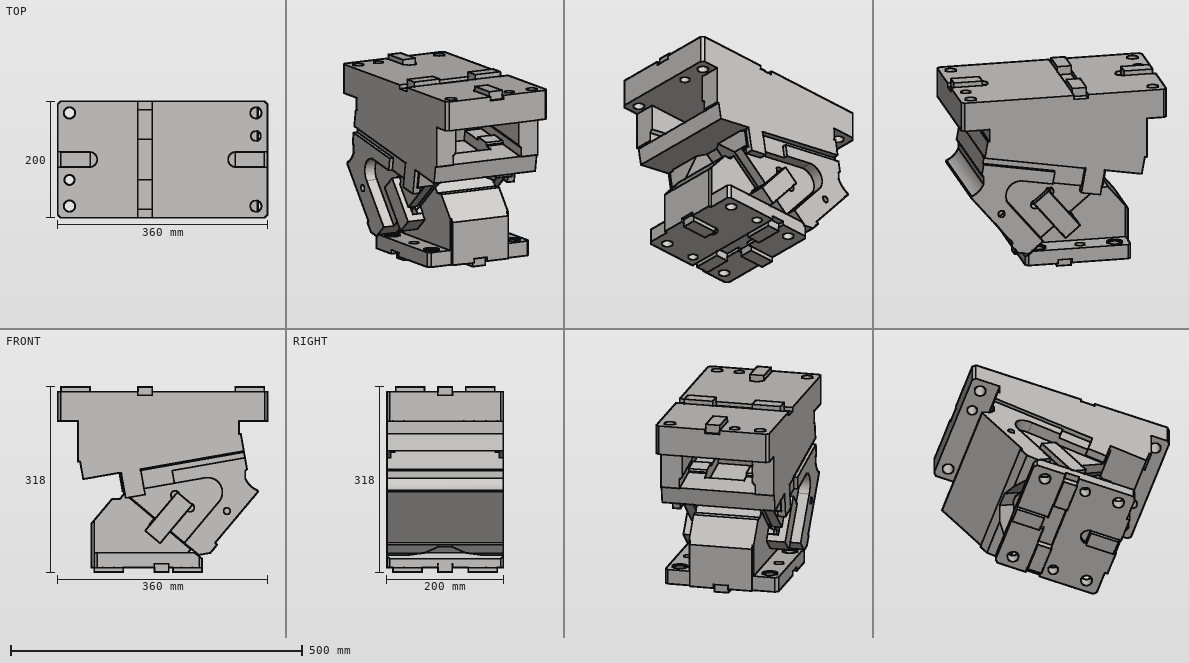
import cadquery as cq
import math


WIDTH = 200.0
HALF_WIDTH = WIDTH / 2
KEY_WIDTH = 25.0
KEY_LENGTH = 50.0
KEY_HEIGHT = 8.0
KEYWAY_WIDTH = 26.0
KEYWAY_DEPTH = 7.0
CORNER_CHAMFER = 5.0
BOLT_HOLE = 19.0
DOWEL_HOLE = 17.0
BOLT_Y = 80.0
FAR = 432.0

GUIDE_ANGLE = math.radians(10)
GUIDE_ORIGIN = (142.2, 176.8)

RAMP_ANGLE = math.radians(-40)
RAMP_ORIGIN = (125.0, 127.5)

HOLDER_LENGTH = 360.0
PLATE_TOP = 310.0
PLATE_BOTTOM = 259.2
LEG_LEFT = 34.5
LEG_RIGHT = 311.5
BODY_LEFT_U = -100.0
BODY_RIGHT_U = 180.0
LEFT_STEP_V = 30.5
RIGHT_STEP_V = 29.5
HOOK_LEFT_U = -34.0
HOOK_BOTTOM_V = -44.3
HOOK_HALF_GAP = 86.5
TOP_GROOVE_X = 150.0
TOP_CROSS_KEY_Y = 60.0
TOP_END_KEY_INSET = 5.5
TOP_KEYWAY_LENGTH = 67.5
HOLDER_HOLE_INSET = 20.0
LEFT_DOWEL_Y = -35.0
RIGHT_DOWEL_Y = 40.5
CAVITY_HALF = 62.3
CAVITY_WIDE_HALF = 67.5
CAVITY_WIDE_TOP_V = 52.0
CAVITY_BACK_U = 36.0
CAVITY_LEDGE_V = 68.5
CAVITY_SLOT_HALF = 35.0
CAVITY_SLOT_LEFT_U = -54.5
CAVITY_SLOT_DEPTH = 18.0
CAVITY_PAD_LEFT_U = -39.5
CAVITY_PAD_RIGHT_U = -8.5
CAVITY_PAD_TOP_V = 36.0
CAVITY_PAD_CHAMFER = 3.0

SLIDE_LEFT_U = -37.0
SLIDE_SOLE_START_S = -18.0
SLIDE_SOLE_END_S = 152.5
SLIDE_BACK_S = 161.0
SLIDE_END_BOTTOM_V = -31.5
HEEL_S = 165.5
HEEL_LOW_N = 15.5
HEEL_HIGH_N = 34.2
TIP_N = 149.0
TIP_ROUND_START = (342.7, 140.5)
TIP_ROUND_MIDDLE = (328.0, 151.2)
TIP_ROUND_END = (322.0, 161.0)
NECK_U = 176.5
FLANGE_HALF = 93.0
FLANGE_BOTTOM_V = -34.0
LEDGE_V = -12.0
PAD_LEFT_U = 53.0
TOP_RELIEF_HALF = 86.5
TOP_RELIEF = 2.0
RECESS_HALF = 80.0
RECESS_RIGHT_S = 121.0
RECESS_CORNER_U = 175.5
RECESS_RADIUS = 25.2
SIDE_HOLE = 11.5
SIDE_HOLE_DEPTH = 10.8
SIDE_HOLE_AT = (141.0, 89.0)
RELIEF_RADIUS = 7.2
RELIEF_INSET = 6.0

ROOF_SLOPE = math.tan(math.radians(30))
RIDGE_N = 29.0
GROOVE_HALF = 62.5
RAMP_START_S = -13.0
RAMP_END_S = 136.0
RAMP_CLEARANCE = 1.0

BLOCK_LEFT = 57.5
BLOCK_RIGHT = 223.5
BLOCK_LEFT_TOP = 83.0
BLOCK_HALF = 57.2
NOSE_HALF = 55.0
SHOULDER_N = -13.0
SHOULDER_LEFT_X = 93.2
RAMP_FOOT_N = -8.3
FOOT_LEFT = 62.5
FOOT_RIGHT = 247.5
FOOT_BOTTOM = KEY_HEIGHT
FOOT_TOP = 33.5
BASE_GROOVE_X = 178.2
BASE_CROSS_KEY_Y = 64.5
FOOT_BOLTS_X = (87.0, 221.5)
FOOT_DOWEL_X = 148.0
SPOTFACE = 26.5
SPOTFACE_DEPTH = 1.8
STRAP_LEFT_S = 55.5
STRAP_RIGHT_S = 89.0
STRAP_BOTTOM_N = -27.0
STRAP_TOP_N = 59.0
STRAP_HALF = 90.5
RIB_HALF = 67.5
RIB_LEFT_S = 54.0
RIB_BOTTOM_N = -14.5
NOTCH_HALF = 76.0
NOTCH_RIGHT_S = 73.5


def tilted(origin, angle, along, across):
    """Turn a place in a tilted frame into an (x, z) point."""
    x = origin[0] + along * math.cos(angle) - across * math.sin(angle)
    z = origin[1] + along * math.sin(angle) + across * math.cos(angle)
    return (x, z)


def guide(u, v):
    return tilted(GUIDE_ORIGIN, GUIDE_ANGLE, u, v)


def ramp(s, n):
    return tilted(RAMP_ORIGIN, RAMP_ANGLE, s, n)


def box(x_range, y_range, z_range):
    size = [high - low for low, high in (x_range, y_range, z_range)]
    return cq.Workplane("XY").box(*size, centered=False).translate((x_range[0], y_range[0], z_range[0]))


def middle(points, half):
    """Extrude an (x, z) outline to both sides of the symmetry plane."""
    return cq.Workplane("XZ").polyline(points).close().extrude(half, both=True)


def sides(points, inner, outer):
    """Extrude an (x, z) outline on both sides, from inner to outer distance from the middle."""
    front = cq.Workplane("XZ", origin=(0, -inner, 0)).polyline(points).close().extrude(outer - inner)
    return front.union(front.mirror("XZ"))


def guide_rectangle(u0, u1, v0, v1):
    return [guide(u0, v0), guide(u1, v0), guide(u1, v1), guide(u0, v1)]


def ramp_rectangle(s0, s1, n0, n1):
    return [ramp(s0, n0), ramp(s1, n0), ramp(s1, n1), ramp(s0, n1)]


def prism_along(origin, angle, section, start, end):
    """Extrude a section, given as (y, height) points, along the first axis of a tilted frame."""
    x, z = tilted(origin, angle, start, 0)
    direction = (math.cos(angle), 0, math.sin(angle))
    plane = cq.Plane(origin=(x, 0, z), xDir=(0, 1, 0), normal=direction)
    return cq.Workplane(plane).polyline(section).close().extrude(end - start)


def roof_prism(eave_half, eave_n, start_s, end_s):
    """Prism along the ramp with two sloping sides and a flat ridge."""
    ridge_half = eave_half - (RIDGE_N - eave_n) / ROOF_SLOPE
    section = [(-eave_half, eave_n), (eave_half, eave_n), (ridge_half, RIDGE_N), (-ridge_half, RIDGE_N)]
    return prism_along(RAMP_ORIGIN, RAMP_ANGLE, section, start_s, end_s)


def holes(points, diameter, bottom, top):
    circles = cq.Workplane("XY", origin=(0, 0, bottom)).pushPoints(points).circle(diameter / 2)
    return circles.extrude(top - bottom)


def end_key(x_left, z_range):
    return box((x_left, x_left + KEY_LENGTH), (-KEY_WIDTH / 2, KEY_WIDTH / 2), z_range)


def cross_keys(x_middle, y_middle, z_range):
    x_range = (x_middle - KEY_WIDTH / 2, x_middle + KEY_WIDTH / 2)
    key = box(x_range, (y_middle - KEY_LENGTH / 2, y_middle + KEY_LENGTH / 2), z_range)
    return key.union(key.mirror("XZ"))


def cross_groove(x_middle, z_range):
    return box((x_middle - KEY_WIDTH / 2, x_middle + KEY_WIDTH / 2), (-HALF_WIDTH, HALF_WIDTH), z_range)


def end_keyway(x_end, length, direction, z_range):
    """Keyway open at x_end with a round inner end; direction is the sign of X into the part."""
    radius = KEYWAY_WIDTH / 2
    x_round = x_end + direction * (length - radius)
    depth = z_range[1] - z_range[0]
    x_range = (min(x_end, x_round), max(x_end, x_round))
    straight = box(x_range, (-radius, radius), z_range)
    round_end = cq.Workplane("XY", origin=(x_round, 0, z_range[0])).circle(radius).extrude(depth)
    return straight.union(round_end)


def make_holder():
    plate = box((0, HOLDER_LENGTH), (-HALF_WIDTH, HALF_WIDTH), (PLATE_BOTTOM, PLATE_TOP))
    plate = plate.edges("|Z").chamfer(CORNER_CHAMFER)
    left_holes = HOLDER_HOLE_INSET
    right_holes = HOLDER_LENGTH - HOLDER_HOLE_INSET
    bolts = [(x, y) for x in (left_holes, right_holes) for y in (-BOLT_Y, BOLT_Y)]
    dowels = [(left_holes, LEFT_DOWEL_Y), (right_holes, RIGHT_DOWEL_Y)]
    plate = plate.cut(holes(bolts, BOLT_HOLE, PLATE_BOTTOM, PLATE_TOP))
    plate = plate.cut(holes(dowels, DOWEL_HOLE, PLATE_BOTTOM, PLATE_TOP))

    left_step = guide(BODY_LEFT_U, LEFT_STEP_V)
    right_step = guide(BODY_RIGHT_U, RIGHT_STEP_V)
    outline = [
        (LEG_LEFT, PLATE_BOTTOM),
        (LEG_LEFT, left_step[1]),
        left_step,
        guide(BODY_LEFT_U, 0),
        guide(HOOK_LEFT_U, 0),
        guide(HOOK_LEFT_U, HOOK_BOTTOM_V),
        guide(0, HOOK_BOTTOM_V),
        guide(0, 0),
        guide(BODY_RIGHT_U, 0),
        right_step,
        (LEG_RIGHT, right_step[1]),
        (LEG_RIGHT, PLATE_BOTTOM),
    ]
    body = middle(outline, HALF_WIDTH)

    body = body.cut(middle(guide_rectangle(HOOK_LEFT_U, 0, FLANGE_BOTTOM_V, 0), FLANGE_HALF))
    body = body.cut(middle(guide_rectangle(HOOK_LEFT_U, 0, HOOK_BOTTOM_V, FLANGE_BOTTOM_V), HOOK_HALF_GAP))

    body = body.cut(make_cavity())
    holder = plate.union(body)

    keyway_z = (PLATE_TOP - KEYWAY_DEPTH, PLATE_TOP)
    key_z = (PLATE_TOP - KEYWAY_DEPTH, PLATE_TOP + KEY_HEIGHT)
    holder = holder.cut(cross_groove(TOP_GROOVE_X, keyway_z))
    holder = holder.cut(end_keyway(0, TOP_KEYWAY_LENGTH, 1, keyway_z))
    holder = holder.cut(end_keyway(HOLDER_LENGTH, TOP_KEYWAY_LENGTH, -1, keyway_z))
    holder = holder.union(cross_keys(TOP_GROOVE_X, TOP_CROSS_KEY_Y, key_z))
    for x_left in (TOP_END_KEY_INSET, HOLDER_LENGTH - TOP_END_KEY_INSET - KEY_LENGTH):
        holder = holder.union(end_key(x_left, key_z))
    return holder


def make_cavity():
    """Cutter for the hollow in the left end: floor along the guide, back wall square to it."""
    floor_v = LEFT_STEP_V
    floor_left = guide(BODY_LEFT_U, floor_v)
    ledge_left = guide(CAVITY_BACK_U, CAVITY_LEDGE_V)
    ledge_right_x = ledge_left[0] + (PLATE_BOTTOM - ledge_left[1]) / math.tan(GUIDE_ANGLE)
    outline = [
        (0, PLATE_BOTTOM),
        (0, floor_left[1]),
        floor_left,
        guide(CAVITY_BACK_U, floor_v),
        ledge_left,
        (ledge_right_x, PLATE_BOTTOM),
    ]
    hollow = middle(outline, CAVITY_HALF)

    shoulder = CAVITY_WIDE_HALF - CAVITY_HALF
    half_section = [
        (CAVITY_WIDE_HALF, floor_v),
        (CAVITY_WIDE_HALF, CAVITY_WIDE_TOP_V - shoulder),
        (CAVITY_HALF, CAVITY_WIDE_TOP_V),
    ]
    other_half = [(-y, v) for y, v in reversed(half_section)]
    wide_left_u = 2 * BODY_LEFT_U
    wide = prism_along(GUIDE_ORIGIN, GUIDE_ANGLE, half_section + other_half, wide_left_u, CAVITY_BACK_U)

    pad_outline = [
        guide(CAVITY_PAD_LEFT_U, floor_v),
        guide(CAVITY_PAD_RIGHT_U, floor_v),
        guide(CAVITY_PAD_RIGHT_U, CAVITY_PAD_TOP_V),
        guide(CAVITY_PAD_LEFT_U + CAVITY_PAD_CHAMFER, CAVITY_PAD_TOP_V),
        guide(CAVITY_PAD_LEFT_U, CAVITY_PAD_TOP_V - CAVITY_PAD_CHAMFER),
    ]
    pads = sides(pad_outline, CAVITY_SLOT_HALF, CAVITY_WIDE_HALF)

    slot_bottom_v = floor_v - CAVITY_SLOT_DEPTH
    slot_outline = guide_rectangle(CAVITY_SLOT_LEFT_U, CAVITY_BACK_U, slot_bottom_v, floor_v)
    slot = middle(slot_outline, CAVITY_SLOT_HALF)
    return hollow.union(wide).cut(pads).union(slot)


def make_slide():
    slide = (
        cq.Workplane("XZ")
        .moveTo(*guide(SLIDE_LEFT_U, 0))
        .lineTo(*ramp(SLIDE_SOLE_START_S, 0))
        .lineTo(*ramp(SLIDE_SOLE_END_S, 0))
        .lineTo(*ramp(HEEL_S, HEEL_LOW_N))
        .lineTo(*ramp(HEEL_S, HEEL_HIGH_N))
        .lineTo(*ramp(SLIDE_BACK_S, HEEL_HIGH_N))
        .lineTo(*ramp(SLIDE_BACK_S, TIP_N))
        .lineTo(*TIP_ROUND_START)
        .threePointArc(TIP_ROUND_MIDDLE, TIP_ROUND_END)
        .lineTo(*guide(NECK_U, FLANGE_BOTTOM_V))
        .lineTo(*guide(BODY_RIGHT_U, SLIDE_END_BOTTOM_V))
        .lineTo(*guide(BODY_RIGHT_U, 0))
        .close()
        .extrude(HALF_WIDTH, both=True)
    )

    slide = slide.cut(sides(guide_rectangle(-FAR, FAR, -TOP_RELIEF, FAR), TOP_RELIEF_HALF, HALF_WIDTH))
    slide = slide.cut(sides(guide_rectangle(-FAR, FAR, LEDGE_V, FAR), FLANGE_HALF, HALF_WIDTH))
    slide = slide.cut(
        sides(guide_rectangle(-FAR, PAD_LEFT_U, FLANGE_BOTTOM_V, FAR), FLANGE_HALF, HALF_WIDTH)
    )

    corner = guide(RECESS_CORNER_U, FLANGE_BOTTOM_V)
    outline = [guide(-FAR, FLANGE_BOTTOM_V), corner, ramp(RECESS_RIGHT_S, -FAR)]
    recess = cq.Workplane("XZ", origin=(0, -RECESS_HALF, 0)).polyline(outline).close()
    recess = recess.extrude(HALF_WIDTH - RECESS_HALF)
    nearest = cq.selectors.NearestToPointSelector((corner[0], -(HALF_WIDTH + RECESS_HALF) / 2, corner[1]))
    recess = recess.edges(nearest).fillet(RECESS_RADIUS)
    slide = slide.cut(recess).cut(recess.mirror("XZ"))

    slide = slide.cut(roof_prism(GROOVE_HALF, 0, -FAR, FAR))

    slide = slide.cut(make_straps())
    relief_places = [
        ramp(STRAP_LEFT_S, STRAP_TOP_N - RELIEF_INSET),
        ramp(STRAP_RIGHT_S, STRAP_TOP_N - RELIEF_INSET),
    ]
    slide = slide.cut(side_bores(relief_places, RELIEF_RADIUS, BLOCK_HALF, HALF_WIDTH))

    hole_inner = HALF_WIDTH - SIDE_HOLE_DEPTH
    return slide.cut(side_bores([ramp(*SIDE_HOLE_AT)], SIDE_HOLE / 2, hole_inner, HALF_WIDTH))


def side_bores(points, radius, inner, outer):
    bores = cq.Workplane("XZ", origin=(0, -inner, 0)).pushPoints(points).circle(radius).extrude(outer - inner)
    return bores.union(bores.mirror("XZ"))


def make_straps():
    outline = ramp_rectangle(STRAP_LEFT_S, STRAP_RIGHT_S, STRAP_BOTTOM_N, STRAP_TOP_N)
    return sides(outline, BLOCK_HALF, STRAP_HALF)


def make_base():
    shoulder = ramp(RAMP_START_S, SHOULDER_N)

    outline = [
        (BLOCK_LEFT, FOOT_BOTTOM),
        (BLOCK_LEFT, BLOCK_LEFT_TOP),
        (SHOULDER_LEFT_X, shoulder[1]),
        shoulder,
        ramp(RAMP_START_S, -RAMP_CLEARANCE),
        ramp(RAMP_END_S, -RAMP_CLEARANCE),
        ramp(RAMP_END_S, RAMP_FOOT_N),
        (BLOCK_RIGHT, FOOT_BOTTOM),
    ]
    base = middle(outline, BLOCK_HALF)
    base = base.cut(sides([(0, 0), (FOOT_LEFT, 0), (FOOT_LEFT, FAR), (0, FAR)], NOSE_HALF, BLOCK_HALF))
    base = base.union(roof_prism(BLOCK_HALF, -RAMP_CLEARANCE, RAMP_START_S, RAMP_END_S))

    foot = box((FOOT_LEFT, FOOT_RIGHT), (-HALF_WIDTH, HALF_WIDTH), (FOOT_BOTTOM, FOOT_TOP))
    foot = foot.edges("|Z").chamfer(CORNER_CHAMFER)
    foot = foot.cut(middle(ramp_rectangle(0, FAR, -RAMP_CLEARANCE, FAR), HALF_WIDTH))
    bolts = [(x, y) for x in FOOT_BOLTS_X for y in (-BOLT_Y, BOLT_Y)]
    dowels = [(FOOT_DOWEL_X, y) for y in (-BOLT_Y, BOLT_Y)]
    foot = foot.cut(holes(bolts, BOLT_HOLE, FOOT_BOTTOM, FOOT_TOP))
    foot = foot.cut(holes(bolts, SPOTFACE, FOOT_TOP - SPOTFACE_DEPTH, FOOT_TOP))
    foot = foot.cut(holes(dowels, DOWEL_HOLE, FOOT_BOTTOM, FOOT_TOP))
    base = base.union(foot)

    keyway_z = (FOOT_BOTTOM, FOOT_BOTTOM + KEYWAY_DEPTH)
    key_z = (0, FOOT_BOTTOM + KEYWAY_DEPTH)
    keyway_length = FOOT_LEFT + KEY_LENGTH + KEYWAY_WIDTH / 2 - BLOCK_LEFT
    base = base.cut(cross_groove(BASE_GROOVE_X, keyway_z))
    base = base.cut(end_keyway(BLOCK_LEFT, keyway_length, 1, keyway_z))
    base = base.cut(end_keyway(FOOT_RIGHT, KEY_LENGTH + KEYWAY_WIDTH / 2, -1, keyway_z))
    base = base.union(cross_keys(BASE_GROOVE_X, BASE_CROSS_KEY_Y, key_z))
    for x_left in (FOOT_LEFT, FOOT_RIGHT - KEY_LENGTH):
        base = base.union(end_key(x_left, key_z))

    notches = sides(ramp_rectangle(STRAP_LEFT_S, NOTCH_RIGHT_S, RIB_BOTTOM_N, 0), RIB_HALF, NOTCH_HALF)
    rib_top_n = -RAMP_CLEARANCE - (RIB_HALF - BLOCK_HALF) * ROOF_SLOPE
    rib_section = [
        (BLOCK_HALF, RIB_BOTTOM_N),
        (RIB_HALF, RIB_BOTTOM_N),
        (RIB_HALF, rib_top_n),
        (BLOCK_HALF, -RAMP_CLEARANCE),
    ]
    rib = prism_along(RAMP_ORIGIN, RAMP_ANGLE, rib_section, RIB_LEFT_S, STRAP_RIGHT_S)
    return base.union(make_straps().cut(notches)).union(rib).union(rib.mirror("XZ"))


holder = make_holder()
slide = make_slide()
base = make_base()

result = cq.Compound.makeCompound([holder.solids().val(), slide.solids().val(), base.solids().val()])